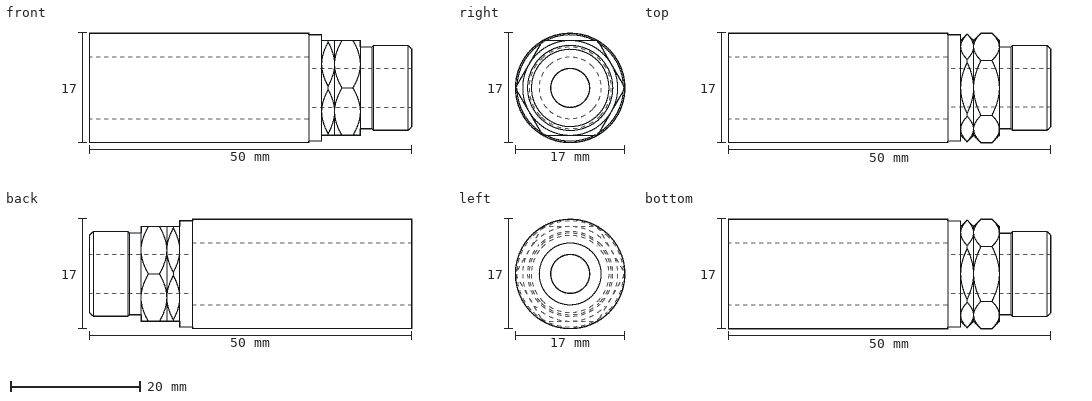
import cadquery as cq
import math

length = 50.0
sleeve_end = 34.0
collar_end = 36.0
lock_hex_end = 38.0
hex_end = 42.0
neck_end = 43.8

sleeve_radius = 8.5
collar_radius = 8.25
hex_corner_radius = sleeve_radius
hex_flat_radius = hex_corner_radius * math.cos(math.pi / 6)
neck_radius = 6.35
spigot_radius = 6.6
spigot_chamfer = 0.6

hose_bore_radius = 4.8
through_bore_radius = 3.0


def cylinder(start, end, radius):
    """Solid cylinder on the X axis between two stations."""
    return cq.Workplane("YZ", origin=(start, 0, 0)).circle(radius).extrude(end - start)


def chamfered_hexagon(start, end):
    """Hexagon with corners on +-Y, turned at 45 degrees from the flats on both ends."""
    width = end - start
    prism = (
        cq.Workplane("YZ", origin=(start, 0, 0))
        .polygon(6, 2 * hex_corner_radius)
        .extrude(width)
    )
    profile = (
        cq.Workplane("XY")
        .moveTo(start, 0)
        .lineTo(start, hex_flat_radius)
        .lineTo(start + width / 2, hex_flat_radius + width / 2)
        .lineTo(end, hex_flat_radius)
        .lineTo(end, 0)
        .close()
    )
    double_cone = profile.revolve(360, (0, 0, 0), (1, 0, 0))
    return prism.intersect(double_cone)


def spigot():
    """End cylinder: a small lead-in from the neck and a chamfer at the free end."""
    lead_in = spigot_radius - neck_radius
    return (
        cylinder(neck_end, length, spigot_radius)
        .faces("<X").chamfer(lead_in)
        .faces(">X").chamfer(spigot_chamfer)
    )


sleeve = cylinder(0, sleeve_end, sleeve_radius)
collar = cylinder(sleeve_end, collar_end, collar_radius)
lock_hexagon = chamfered_hexagon(collar_end, lock_hex_end)
main_hexagon = chamfered_hexagon(lock_hex_end, hex_end)
neck = cylinder(hex_end, neck_end, neck_radius)

body = sleeve.union(collar).union(lock_hexagon).union(main_hexagon).union(neck).union(spigot())

hose_bore = cylinder(0, sleeve_end, hose_bore_radius)
through_bore = cylinder(0, length, through_bore_radius)

result = body.cut(hose_bore).cut(through_bore)